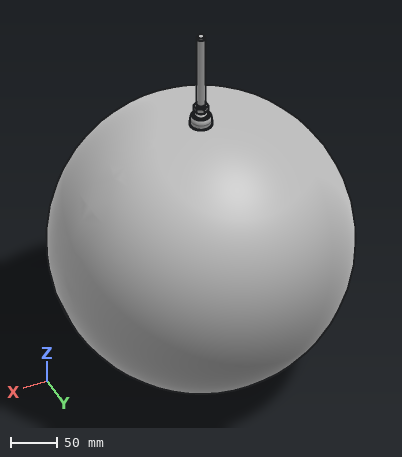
import cadquery as cq

ball_diameter = 334.0
ball_top = ball_diameter

cap_radius = 12.0
cap_shoulder_z = 340.0
cap_dome_top_z = 345.5
cap_dome_top_radius = 10.0
cap_rim_z = 347.0
cap_rim_radius = 9.0
cap_arc_mid = (11.5, 343.0)
cap_seat_z = ball_top - 2.0
flange_radius = 13.0
flange_top_z = ball_top + 0.5

collar_bottom_radius = 7.5
collar_top_radius = 5.0
collar_top_z = 350.0
neck_diameter = 8.2

nut_across_flats = 14.0
nut_face_diameter = 13.7
nut_bottom_z = 352.7
nut_top_z = 358.5
nut_chamfer_height = 0.5

rod_diameter = 10.0
rod_bottom_z = 361.5
rod_top_z = 455.0
rod_relief_diameter = 9.5
tip_diameter = 7.5
total_height = 458.0


def cylinder(diameter, bottom, top):
    return cq.Workplane("XY").workplane(offset=bottom).circle(diameter / 2).extrude(top - bottom)


def make_ball():
    radius = ball_diameter / 2
    return cq.Workplane("XY").sphere(radius).translate((0, 0, radius))


def make_cap():
    """Flange, domed cap and tapered collar revolved about Z."""
    return (
        cq.Workplane("XZ")
        .moveTo(0, cap_seat_z)
        .lineTo(flange_radius, cap_seat_z)
        .lineTo(flange_radius, flange_top_z)
        .lineTo(cap_radius, flange_top_z)
        .lineTo(cap_radius, cap_shoulder_z)
        .threePointArc(cap_arc_mid, (cap_dome_top_radius, cap_dome_top_z))
        .lineTo(cap_rim_radius, cap_dome_top_z)
        .lineTo(cap_rim_radius, cap_rim_z)
        .lineTo(collar_bottom_radius, cap_rim_z)
        .lineTo(collar_top_radius, collar_top_z)
        .lineTo(0, collar_top_z)
        .close()
        .revolve(360, (0, 0, 0), (0, 1, 0))
    )


def make_nut():
    """Hexagonal prism whose upper corners are trimmed by a cone."""
    corner_radius = nut_across_flats / 3 ** 0.5
    hexagon = (
        cq.Workplane("XY")
        .workplane(offset=nut_bottom_z)
        .polygon(6, 2 * corner_radius)
        .extrude(nut_top_z - nut_bottom_z)
        .rotate((0, 0, 0), (0, 0, 1), 90)
    )
    trim = (
        cq.Workplane("XZ")
        .moveTo(0, nut_bottom_z)
        .lineTo(corner_radius, nut_bottom_z)
        .lineTo(corner_radius, nut_top_z - nut_chamfer_height)
        .lineTo(nut_face_diameter / 2, nut_top_z)
        .lineTo(0, nut_top_z)
        .close()
        .revolve(360, (0, 0, 0), (0, 1, 0))
    )
    return hexagon.intersect(trim)


def make_rod():
    relief = cylinder(rod_relief_diameter, nut_top_z, rod_bottom_z)
    shaft = cylinder(rod_diameter, rod_bottom_z, rod_top_z)
    tip = cylinder(tip_diameter, rod_top_z, total_height)
    return relief.union(shaft).union(tip)


neck = cylinder(neck_diameter, collar_top_z, nut_bottom_z)
result = make_ball().union(make_cap()).union(neck).union(make_nut()).union(make_rod())